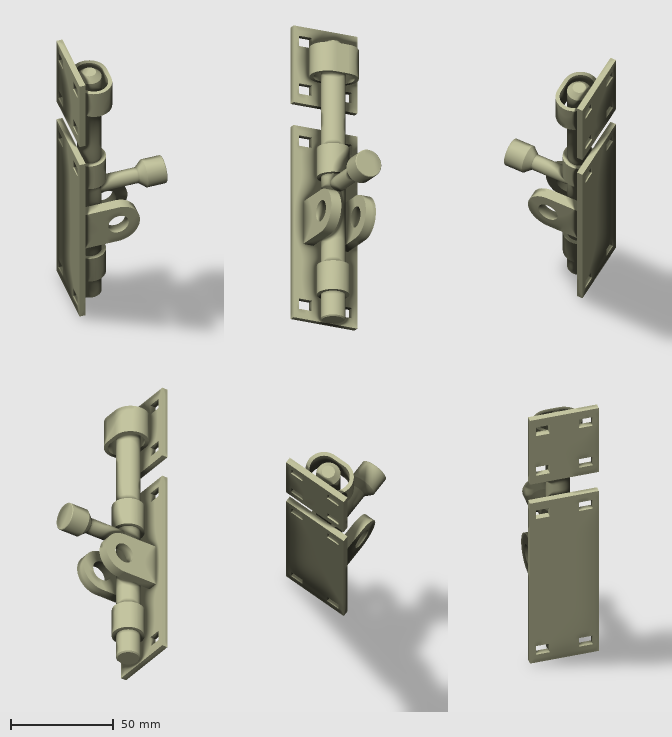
import cadquery as cq

TOTAL_HEIGHT = 153.0
TOTAL_DEPTH = 49.0
PLATE_WIDTH = 35.0
PLATE_THICKNESS = 3.0

BASE_HEIGHT = 100.0
BASE_BOTTOM = 1.0
BASE_CENTER = BASE_BOTTOM + BASE_HEIGHT / 2
STRIKE_HEIGHT = 40.0
STRIKE_CENTER = TOTAL_HEIGHT - STRIKE_HEIGHT / 2

WINDOW_WIDTH = 7.0
WINDOW_HEIGHT = 5.4
WINDOW_SIDE_MARGIN = 3.0
WINDOW_END_MARGIN = 4.9

ROD_RADIUS = 12.0 / 2
ROD_TOP = 144.5
ROD_TIP_CHAMFER = 2.8
ROD_BOTTOM_CHAMFER = 0.6
ROD_HEIGHT_ABOVE_PLATE = 8.0
ROD_Y = PLATE_THICKNESS + ROD_HEIGHT_ABOVE_PLATE
GUIDE_WIDTH = 15.9
GUIDE_DEPTH = 16.0
GUIDE_HEIGHT = 15.0
GUIDE_SPACING = 61.0
GUIDE_CENTERS = (BASE_CENTER - GUIDE_SPACING / 2, BASE_CENTER + GUIDE_SPACING / 2)

LUG_THICKNESS = 5.5
LUG_OUTER_X = 12.2
LUG_RADIUS = 11.0
LUG_HOLE_DIAMETER = 10.5
LUG_HOLE_Y = PLATE_THICKNESS + 18.8

KEEPER_WIDTH = 25.0
KEEPER_DEPTH = 18.0
KEEPER_WALL = ROD_HEIGHT_ABOVE_PLATE - ROD_RADIUS
KEEPER_HEIGHT = 15.0

HANDLE_Z = 69.0
STEM_RADIUS = 8.0 / 2
STEM_ROOT_BELOW_AXIS = 4.6
KNOB_RADIUS = 14.0 / 2
KNOB_CONE_START = 35.3
KNOB_CONE_END = 39.0
KNOB_CHAMFER = 0.3


def mounting_plate(height, center_z):
    """Upright plate with a screw window at each corner."""
    plate = cq.Workplane("XY").box(PLATE_WIDTH, PLATE_THICKNESS, height)
    spacing_x = PLATE_WIDTH - 2 * WINDOW_SIDE_MARGIN - WINDOW_WIDTH
    spacing_z = height - 2 * WINDOW_END_MARGIN - WINDOW_HEIGHT
    windows = (
        cq.Workplane("XZ")
        .rarray(spacing_x, spacing_z, 2, 2)
        .rect(WINDOW_WIDTH, WINDOW_HEIGHT)
        .extrude(PLATE_THICKNESS, both=True)
    )
    return plate.cut(windows).translate((0, PLATE_THICKNESS / 2, center_z))


def padlock_lug(start_x):
    """Round-ended ear with a shackle hole, rising from the base plate."""
    lug_outline = (
        cq.Workplane("YZ", origin=(start_x, 0, BASE_CENTER))
        .moveTo(PLATE_THICKNESS, -LUG_RADIUS)
        .lineTo(LUG_HOLE_Y, -LUG_RADIUS)
        .threePointArc((LUG_HOLE_Y + LUG_RADIUS, 0), (LUG_HOLE_Y, LUG_RADIUS))
        .lineTo(PLATE_THICKNESS, LUG_RADIUS)
        .close()
    )
    hole = (
        cq.Workplane("YZ", origin=(start_x, LUG_HOLE_Y, BASE_CENTER))
        .circle(LUG_HOLE_DIAMETER / 2)
        .extrude(LUG_THICKNESS)
    )
    return lug_outline.extrude(LUG_THICKNESS).cut(hole)


def make_base():
    """Long plate with its pair of padlock lugs."""
    body = mounting_plate(BASE_HEIGHT, BASE_CENTER)
    for start_x in (-LUG_OUTER_X, LUG_OUTER_X - LUG_THICKNESS):
        body = body.union(padlock_lug(start_x))
    return body


def make_strike():
    """Short plate with the keeper loop that receives the rod tip."""
    keeper_y = PLATE_THICKNESS + KEEPER_DEPTH / 2
    keeper_bottom = STRIKE_CENTER - KEEPER_HEIGHT / 2
    keeper = (
        cq.Workplane("XY", origin=(0, keeper_y, keeper_bottom))
        .slot2D(KEEPER_WIDTH, KEEPER_DEPTH)
        .slot2D(KEEPER_WIDTH - 2 * KEEPER_WALL, KEEPER_DEPTH - 2 * KEEPER_WALL)
        .extrude(KEEPER_HEIGHT)
    )
    return mounting_plate(STRIKE_HEIGHT, STRIKE_CENTER).union(keeper)


def make_guide_ring(center_z):
    """Ring around the rod, resting on the base plate, with a narrow flat on each side."""
    bottom = center_z - GUIDE_HEIGHT / 2
    bore = cq.Workplane("XY", origin=(0, ROD_Y, bottom)).circle(ROD_RADIUS).extrude(GUIDE_HEIGHT)
    return (
        cq.Workplane("XY", origin=(0, PLATE_THICKNESS + GUIDE_DEPTH / 2, bottom))
        .slot2D(GUIDE_DEPTH, GUIDE_WIDTH, angle=90)
        .extrude(GUIDE_HEIGHT)
        .cut(bore)
    )


def make_bolt():
    """Sliding rod with its knobbed handle."""
    rod = (
        cq.Workplane("XY", origin=(0, ROD_Y, 0))
        .circle(ROD_RADIUS)
        .extrude(ROD_TOP)
        .faces(">Z")
        .chamfer(ROD_TIP_CHAMFER)
        .faces("<Z")
        .chamfer(ROD_BOTTOM_CHAMFER)
    )
    stem_root_y = ROD_Y - STEM_ROOT_BELOW_AXIS
    handle = (
        cq.Workplane("XY", origin=(0, 0, HANDLE_Z))
        .moveTo(0, stem_root_y)
        .lineTo(STEM_RADIUS, stem_root_y)
        .lineTo(STEM_RADIUS, KNOB_CONE_START)
        .lineTo(KNOB_RADIUS, KNOB_CONE_END)
        .lineTo(KNOB_RADIUS, TOTAL_DEPTH - KNOB_CHAMFER)
        .lineTo(KNOB_RADIUS - KNOB_CHAMFER, TOTAL_DEPTH)
        .lineTo(0, TOTAL_DEPTH)
        .close()
        .revolve(360, (0, 0, 0), (0, 1, 0))
    )
    return rod.union(handle)


base = make_base()
strike = make_strike()
bolt = make_bolt()
guide_rings = []
for center_z in GUIDE_CENTERS:
    guide_rings.append(make_guide_ring(center_z).val())

result = cq.Compound.makeCompound([base.val(), strike.val(), bolt.val(), *guide_rings])